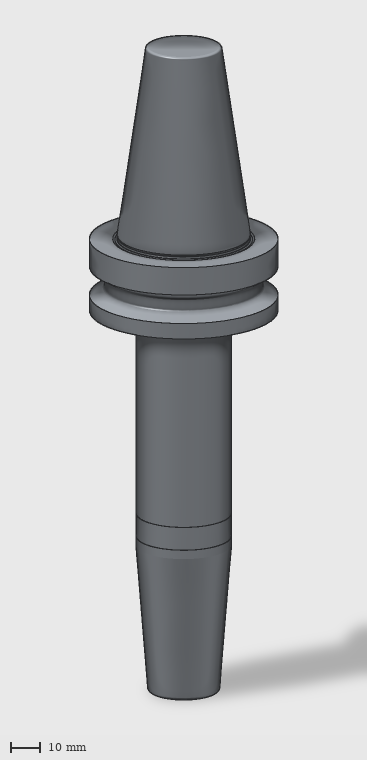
import cadquery as cq
import math


gauge_radius = 44.45 / 2
taper_length = 65.4
taper_ratio = 7 / 24
shank_end_fillet = 1.0

flange_radius = 63 / 2
flange_top = -2.0
flange_thickness = 25.0
groove_center = -16.6
groove_mouth_width = 10.0
groove_floor_radius = 53 / 2
groove_wall_angle = 30.0
groove_corner_fillet = 1.0

undercut_depth = 0.25
undercut_top = -0.6
undercut_outer_radius = 47.4 / 2
undercut_corner_radius = 1.0

body_radius = 32 / 2
body_root_fillet = 1.0
nose_end = -160.0
nose_end_radius = 24 / 2
nose_angle = 4.5
nose_end_fillet = 1.0

band_radius = 31.8 / 2
band_top = -98.0
band_width = 8.0

shank_end_radius = gauge_radius - taper_length * taper_ratio / 2
flange_bottom = flange_top - flange_thickness
groove_wall_height = (flange_radius - groove_floor_radius) * math.tan(math.radians(groove_wall_angle))
groove_floor_width = groove_mouth_width - 2 * groove_wall_height
nose_start = nose_end + (body_radius - nose_end_radius) / math.tan(math.radians(nose_angle))
band_bottom = band_top - band_width
arc_inset_ratio = 1 - math.sqrt(0.5)


def revolve_about_z(outline):
    """Close an outline of (radius, height) points and turn it once around Z."""
    return outline.close().revolve(360, (0, 0, 0), (0, 1, 0))


def make_shank():
    outline = (
        cq.Workplane("XZ")
        .moveTo(0, flange_bottom)
        .lineTo(gauge_radius, flange_bottom)
        .lineTo(gauge_radius, 0)
        .lineTo(shank_end_radius, taper_length)
        .lineTo(0, taper_length)
    )
    return revolve_about_z(outline).faces(">Z").edges().fillet(shank_end_fillet)


def make_gripper_groove():
    outline = (
        cq.Workplane("XZ")
        .moveTo(flange_radius, groove_center + groove_mouth_width / 2)
        .lineTo(groove_floor_radius, groove_center + groove_floor_width / 2)
        .lineTo(groove_floor_radius, groove_center - groove_floor_width / 2)
        .lineTo(flange_radius, groove_center - groove_mouth_width / 2)
    )
    floor_corners = cq.selectors.RadiusNthSelector(0)
    return revolve_about_z(outline).edges("%CIRCLE").edges(floor_corners).fillet(groove_corner_fillet)


def make_flange():
    disc = cq.Workplane("XY", origin=(0, 0, flange_bottom)).circle(flange_radius).extrude(flange_thickness)
    return disc.cut(make_gripper_groove())


def make_undercut():
    neck_radius = gauge_radius - undercut_depth
    floor = flange_top - undercut_depth
    arc_inset = undercut_corner_radius * arc_inset_ratio
    outline = (
        cq.Workplane("XZ")
        .moveTo(gauge_radius, undercut_top)
        .lineTo(neck_radius, floor + undercut_corner_radius)
        .threePointArc(
            (neck_radius + arc_inset, floor + arc_inset),
            (neck_radius + undercut_corner_radius, floor),
        )
        .lineTo(undercut_outer_radius, flange_top)
        .lineTo(undercut_outer_radius, undercut_top)
    )
    return revolve_about_z(outline)


def make_body():
    """Cylinder and nose below the flange, filleted into its underside."""
    root_inset = body_root_fillet * arc_inset_ratio
    outline = (
        cq.Workplane("XZ")
        .moveTo(0, flange_bottom)
        .lineTo(body_radius + body_root_fillet, flange_bottom)
        .threePointArc(
            (body_radius + root_inset, flange_bottom - root_inset),
            (body_radius, flange_bottom - body_root_fillet),
        )
        .lineTo(body_radius, band_top)
        .lineTo(band_radius, band_top)
        .lineTo(band_radius, band_bottom)
        .lineTo(body_radius, band_bottom)
        .lineTo(body_radius, nose_start)
        .lineTo(nose_end_radius, nose_end)
        .lineTo(0, nose_end)
    )
    return revolve_about_z(outline).faces("<Z").edges().fillet(nose_end_fillet)


result = make_flange().union(make_shank()).union(make_body()).cut(make_undercut())